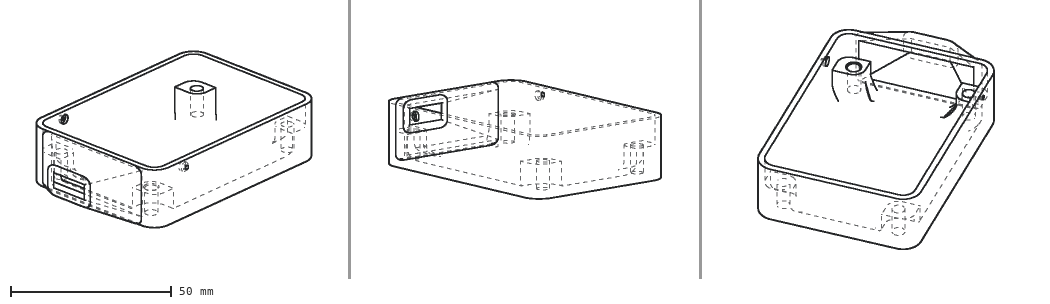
import cadquery as cq
import math

length = 85.5
width = 53.8
height = 20.0
spout_length = 10.4
wall = 2.05
floor = 2.0
corner_radius = 6.0
bottom_round = 0.5
front_y = -length / 2 + spout_length
back_y = length / 2

post_top = 10.8
post_radius = 3.9
post_inset_x = 7.8
post_inset_y = 6.4
post_x = width / 2 - post_inset_x
post_front_y = front_y + post_inset_y
post_back_y = back_y - post_inset_y
screw_diameter = 4.0
odd_screw_diameter = 4.2
odd_screw_chamfer = 0.3

floor_fillet = 4.0
front_recess = 0.6
fillet_run = 10.0
miter_width = 3.1

spout_base_width = width - 2 * corner_radius
spout_tip_width = 17.95
spout_tip_height = 10.5
spout_tip_z = 10.7
spout_round = 3.3
slot_width = 12.9
slot_height = 5.2
slot_z = 10.6
funnel_width = 38.3
funnel_margin = 2.05

pin_diameter = 1.4
pin_bore_diameter = 3.1
pin_bore_depth = 1.0
pin_y = front_y + 14.4
pin_z = height - 2.9


def block(x_size, y_min, y_max, z_min, z_max):
    """Box centred on X between the given Y and Z limits."""
    solid = cq.Workplane("XY").box(
        x_size, y_max - y_min, z_max - z_min, centered=(True, False, False)
    )
    return solid.translate((0, y_min, z_min))


def taper(tip, base, base_y):
    """Loft between two (width, height, centre Z) rectangles, from the spout tip back to base_y."""
    tip_width, tip_height, tip_z = tip
    base_width, base_height, base_z = base
    run = base_y + length / 2
    return (
        cq.Workplane("XZ", origin=(0, -length / 2, 0))
        .center(0, tip_z)
        .rect(tip_width, tip_height)
        .workplane(offset=-run)
        .center(0, base_z - tip_z)
        .rect(base_width, base_height)
        .loft(ruled=True)
    )


def make_shell():
    shell = block(width, front_y, back_y, 0, height).edges("|Z").fillet(corner_radius)
    return shell.faces("<Z").edges().fillet(bottom_round)


def make_spout():
    spout = taper(
        (spout_tip_width, spout_tip_height, spout_tip_z),
        (spout_base_width, height, height / 2),
        front_y,
    )
    return spout.edges("not(#Y)").fillet(spout_round)


def make_funnel():
    return taper(
        (slot_width, slot_height, slot_z),
        (funnel_width, height - 2 * funnel_margin, height / 2),
        front_y + wall,
    )


def make_lower_cavity():
    """Space between the posts, with a fillet running around the floor."""
    lengthwise = block(
        2 * (post_x - post_radius), front_y + wall - front_recess, back_y - wall, floor, post_top
    )
    crosswise = block(
        width - 2 * wall, post_front_y + post_radius, post_back_y - post_radius, floor, post_top
    )
    inner_corners = cq.selectors.BoxSelector(
        (-post_x, post_front_y, 0), (post_x, post_back_y, height)
    )
    cavity = lengthwise.union(crosswise).edges("|Z").edges(inner_corners).fillet(post_radius)
    return cavity.faces("<Z").edges().fillet(floor_fillet)


def make_upper_cavity():
    cavity = block(width - 2 * wall, front_y + wall, back_y - wall, post_top, height)
    return cavity.edges("|Z").fillet(corner_radius - wall)


def make_post_fillet(side):
    """Straight floor fillet past a front post, mitered against the round fillet of the post."""
    root_x = side * (post_x - post_radius)
    toe_x = root_x - side * floor_fillet
    arc_drop = floor_fillet * (1 - math.sqrt(0.5))
    end_y = front_y + fillet_run
    strip = (
        cq.Workplane("XZ", origin=(0, end_y, 0))
        .moveTo(root_x, floor)
        .lineTo(root_x, floor + floor_fillet)
        .threePointArc((root_x - side * arc_drop, floor + arc_drop), (toe_x, floor))
        .close()
        .extrude(fillet_run - post_inset_y)
    )
    miter = (
        cq.Workplane("XY", origin=(0, 0, floor))
        .polyline([(root_x, post_front_y), (root_x, end_y), (root_x - side * miter_width, end_y)])
        .close()
        .extrude(floor_fillet)
    )
    return strip.cut(miter)


def make_screw_hole(x, y, diameter):
    return cq.Workplane("XY", origin=(x, y, floor)).circle(diameter / 2).extrude(post_top - floor)


def make_pin_hole(side):
    """Through hole with a wider bore on the inside of the wall."""
    inner_x = side * (width / 2 - wall)
    pin = cq.Workplane("YZ", origin=(inner_x, pin_y, pin_z)).circle(pin_diameter / 2).extrude(side * wall)
    bore = (
        cq.Workplane("YZ", origin=(inner_x, pin_y, pin_z))
        .circle(pin_bore_diameter / 2)
        .extrude(side * pin_bore_depth)
    )
    return pin.union(bore)


result = make_shell().union(make_spout())
result = result.cut(make_upper_cavity()).cut(make_lower_cavity()).cut(make_funnel())

for side in (-1, 1):
    result = result.union(make_post_fillet(side)).cut(make_pin_hole(side))

for x, y in ((-post_x, post_front_y), (-post_x, post_back_y), (post_x, post_back_y)):
    result = result.cut(make_screw_hole(x, y, screw_diameter))

odd_hole = make_screw_hole(post_x, post_front_y, odd_screw_diameter)
mouth = (
    cq.Workplane("XY", origin=(post_x, post_front_y, post_top - odd_screw_chamfer))
    .circle(odd_screw_diameter / 2)
    .workplane(offset=odd_screw_chamfer)
    .circle(odd_screw_diameter / 2 + odd_screw_chamfer)
    .loft()
)
result = result.cut(odd_hole).cut(mouth)